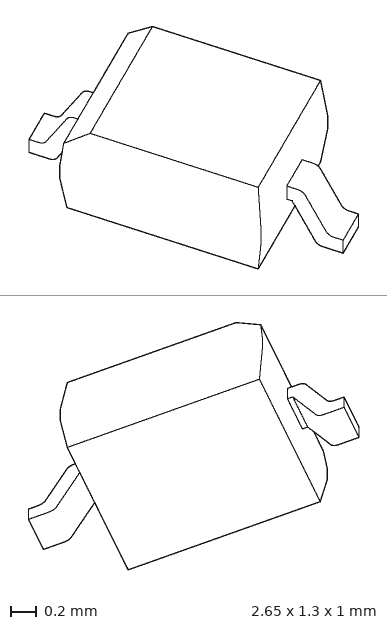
import cadquery as cq
import math

overall_length = 2.65
overall_height = 1.0

body_length = 1.699
body_width = 1.3
body_bottom = 0.055
taper_inset = 0.042
bevel_length = 0.238
bevel_bottom = 0.808

lead_thickness = 0.15
lead_width = 0.3
lead_top = 0.567
knee_inset = 0.34
foot_inset = 0.125
bend_radius = 0.072

band_bottom = lead_top - lead_thickness


def tapered_part(start_height, end_height):
    """Frustum from the full band outline to an outline inset on every side."""
    return (
        cq.Workplane("XY", origin=(0, 0, start_height))
        .rect(body_length, body_width)
        .workplane(offset=end_height - start_height)
        .rect(body_length - 2 * taper_inset, body_width - 2 * taper_inset)
        .loft(ruled=True)
    )


def make_bevel_cutter():
    """Triangular prism that removes the upper -X edge of the housing."""
    wall_x = -body_length / 2
    wall_lean = taper_inset / (overall_height - lead_top)
    bevel_low_x = wall_x + wall_lean * (bevel_bottom - lead_top)
    bevel_top_x = wall_x + bevel_length
    slope = (overall_height - bevel_bottom) / (bevel_top_x - bevel_low_x)
    outer_z = bevel_bottom - slope * (bevel_low_x - wall_x)
    return (
        cq.Workplane("XZ")
        .polyline([(wall_x, outer_z), (bevel_top_x, overall_height), (wall_x, overall_height)])
        .close()
        .extrude(body_width / 2, both=True)
    )


def make_housing():
    band = (
        cq.Workplane("XY", origin=(0, 0, band_bottom))
        .rect(body_length, body_width)
        .extrude(lead_thickness)
    )
    upper = tapered_part(lead_top, overall_height)
    lower = tapered_part(band_bottom, body_bottom)
    return band.union(upper).union(lower).cut(make_bevel_cutter())


def make_lead(turn):
    """Lead on the -X side, turned about Z by the given angle in degrees."""
    tip_x = -overall_length / 2
    wall_x = -body_length / 2
    knee_x = tip_x + knee_inset
    foot_x = tip_x + foot_inset

    bend_angle = math.atan2(lead_top - lead_thickness, knee_x - foot_x)
    corner_shift = lead_thickness * math.tan(bend_angle / 2)

    outline = [
        (tip_x, 0),
        (foot_x + corner_shift, 0),
        (knee_x + corner_shift, band_bottom),
        (wall_x, band_bottom),
        (wall_x, lead_top),
        (knee_x, lead_top),
        (foot_x, lead_thickness),
        (tip_x, lead_thickness),
    ]
    lead = cq.Workplane("XZ").polyline(outline).close().extrude(lead_width / 2, both=True)

    rounded_corners = [
        (foot_x + corner_shift, 0),
        (knee_x, lead_top),
        (foot_x, lead_thickness),
    ]
    for x, z in rounded_corners:
        corner_edge = cq.selectors.NearestToPointSelector((x, 0, z))
        lead = lead.edges("|Y").edges(corner_edge).fillet(bend_radius)
    return lead.rotate((0, 0, 0), (0, 0, 1), turn)


housing = make_housing()
leads = [make_lead(turn) for turn in (0, 180)]

result = cq.Compound.makeCompound([housing.solids().val(), *[lead.solids().val() for lead in leads]])